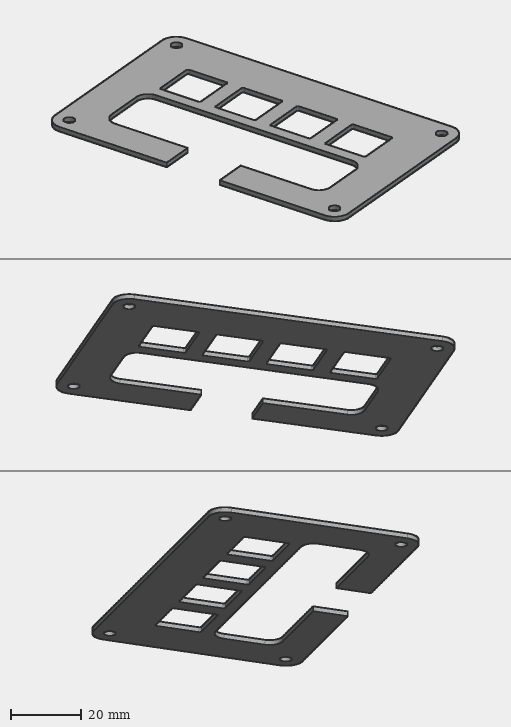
import cadquery as cq

LENGTH = 102
WIDTH = 63.8
THICKNESS = 1.5
CORNER_RADIUS = 5.0

HOLE_DIAMETER = 3.4
HOLE_INSET = 5.0

KEY_COUNT = 4
KEY_SIZE = 14.0
KEY_PITCH = 19.1
KEY_CORNER_RADIUS = 0.5
KEY_ROW_X = 0.3
KEY_ROW_Y = 10.0

WINDOW_LENGTH = 75.9
WINDOW_WIDTH = 20.5
WINDOW_RADIUS = 4.0
WINDOW_TOP_Y = -0.8
GAP_LENGTH = 18.4
GAP_X = 0.4


def rounded_block(length, width, radius, x=0, y=0):
    """Block of plate thickness with rounded vertical edges, centred at (x, y)."""
    block = cq.Workplane("XY").center(x, y).rect(length, width).extrude(THICKNESS)
    return block.edges("|Z").fillet(radius)


def make_plate():
    hole_spacing_x = LENGTH - 2 * HOLE_INSET
    hole_spacing_y = WIDTH - 2 * HOLE_INSET
    return (
        rounded_block(LENGTH, WIDTH, CORNER_RADIUS)
        .faces(">Z")
        .workplane()
        .rect(hole_spacing_x, hole_spacing_y, forConstruction=True)
        .vertices()
        .hole(HOLE_DIAMETER)
    )


def cut_keys(plate):
    first_key_x = KEY_ROW_X - KEY_PITCH * (KEY_COUNT - 1) / 2
    for index in range(KEY_COUNT):
        key_x = first_key_x + index * KEY_PITCH
        plate = plate.cut(rounded_block(KEY_SIZE, KEY_SIZE, KEY_CORNER_RADIUS, key_x, KEY_ROW_Y))
    return plate


def cut_window(plate):
    window_y = WINDOW_TOP_Y - WINDOW_WIDTH / 2
    window = rounded_block(WINDOW_LENGTH, WINDOW_WIDTH, WINDOW_RADIUS, 0, window_y)
    gap_width = window_y + WIDTH / 2
    gap_y = window_y - gap_width / 2
    gap = cq.Workplane("XY").center(GAP_X, gap_y).rect(GAP_LENGTH, gap_width).extrude(THICKNESS)
    return plate.cut(window).cut(gap)


result = cut_window(cut_keys(make_plate()))